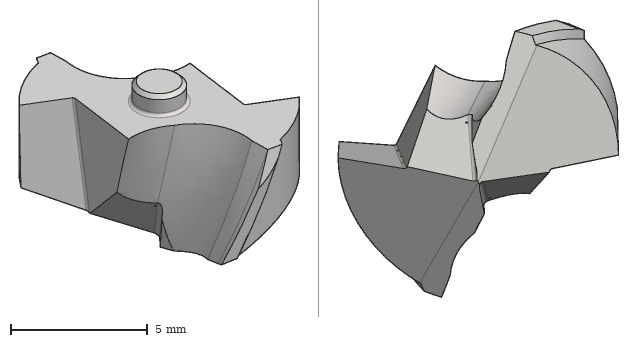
import cadquery as cq
import math


margin_radius = 5.4
relief_radius = 5.14
point_depth = 5.8
body_depth = 6.48
reach = 17.28
helix_rate = 6.296
margin_start_angle = 5.0
margin_end_angle = 21.4
margin_overlap = 0.01
margin_step_angle = 3.2

bevel_inset_x = 4.99
bevel_depth = 1.38

notch_floor_y = 2.41
notch_corner_x = 2.0
notch_wall_dx = 0.73
notch_wall_dy = 1.97
notch_lean = 0.2
notch_fillet = 0.11

lip_rise = 0.355
heel_rise = 0.39
primary_relief = 0.08
gash_rise_x = 1.06
gash_rise_y = 0.97
gash_slope_y = -0.6
lip_inner_end = (12.0, -8.0, 3.6)
gash_fillet = 0.22

corner_flat_start_x = 1.16
corner_flat_end_x = 2.16
corner_flat_top = 3.56
corner_flat_top_y = -0.99
corner_flat_bottom_y = -0.67
corner_flat_outer_y = -1.51

pin_radius = 1.0
pin_height = 0.86
pin_chamfer = 0.16
pin_root_fillet = 0.13


def with_opposite(shape):
    return shape.union(shape.rotate((0, 0, 0), (0, 0, 1), 180))


def polar(radius, angle):
    radians = math.radians(angle)
    return radius * math.cos(radians), radius * math.sin(radians)


def helical(profile):
    """Extrude a profile downwards; its given shape is the one at z = 0."""
    twist = helix_rate * body_depth
    solid = profile.twistExtrude(body_depth, -twist)
    return solid.mirror("XY")


def make_blank():
    core = cq.Workplane("XY").circle(relief_radius).extrude(-body_depth)
    middle_angle = (margin_start_angle + margin_end_angle) / 2
    margin = helical(
        cq.Workplane("XY")
        .moveTo(*polar(relief_radius / 2, margin_start_angle))
        .lineTo(*polar(margin_radius, margin_start_angle))
        .threePointArc(polar(margin_radius, middle_angle), polar(margin_radius, margin_end_angle))
        .lineTo(*polar(relief_radius - margin_overlap, margin_end_angle + margin_step_angle))
        .close()
    )
    return core.union(with_opposite(margin))


def make_flute():
    flute_reach = 6.48
    return helical(
        cq.Workplane("XY")
        .moveTo(flute_reach, 1.59)
        .lineTo(4.99, 1.35)
        .lineTo(4.16, 1.22)
        .threePointArc((2.59, 0.76), (1.66, -0.49))
        .threePointArc((1.37, -1.51), (1.47, -2.42))
        .lineTo(1.84, -3.78)
        .lineTo(2.16, -flute_reach)
        .lineTo(flute_reach, -flute_reach)
        .close()
    )


def make_notch():
    wall_stretch = 2.0
    top = [
        (-notch_corner_x, -notch_floor_y),
        (-notch_corner_x - wall_stretch * notch_wall_dx, -notch_floor_y - wall_stretch * notch_wall_dy),
        (margin_radius, -notch_floor_y - wall_stretch * notch_wall_dy),
        (margin_radius, -notch_floor_y),
    ]
    shift = notch_lean * body_depth
    bottom = [(x + shift, y) for x, y in top]
    notch = (
        cq.Workplane("XY").polyline(top).close()
        .workplane(offset=-body_depth).polyline(bottom).close()
        .loft(ruled=True)
    )
    middle = (shift / 2 - notch_corner_x, -notch_floor_y, -body_depth / 2)
    return notch.edges(cq.selectors.NearestToPointSelector(middle)).fillet(notch_fillet)


def half_space(origin, outward):
    """Large block lying on the outward side of a plane."""
    return cq.Workplane(cq.Plane(origin, normal=outward)).rect(reach, reach).extrude(reach)


def make_flanks():
    point = (0, 0, -point_depth)
    heel = half_space(point, (-lip_rise, -heel_rise, -1))
    primary = half_space(point, (-lip_rise, -primary_relief, -1))
    return heel.union(primary)


def make_bevel():
    return half_space((bevel_inset_x, 0, 0), (bevel_depth, 0, margin_radius - bevel_inset_x))


def make_gash():
    """Rounded V groove running up from the cutting point, ahead of the lip."""
    run = cq.Vector(1, gash_slope_y, gash_rise_x - gash_rise_y * gash_slope_y).normalized()
    floor_normal = cq.Vector(gash_rise_x, -gash_rise_y, -1)
    wall_normal = run.cross(cq.Vector(*lip_inner_end))
    floor_side = run.cross(floor_normal).normalized()
    if floor_side.x > 0:
        floor_side = -floor_side
    wall_side = run.cross(wall_normal).normalized()
    if wall_side.z > 0:
        wall_side = -wall_side
    start = cq.Vector(0, 0, -point_depth) - run * reach / 2
    corners = [start, start + floor_side * reach, start + wall_side * reach]
    face = cq.Face.makeFromWires(cq.Wire.makePolygon(corners, close=True))
    wedge = cq.Workplane(cq.Solid.extrudeLinear(face, run * reach))
    valley = cq.selectors.NearestToPointSelector((0, 0, -point_depth))
    return wedge.edges(valley).fillet(gash_fillet)


def make_corner_flat():
    return (
        cq.Workplane("YZ", origin=(corner_flat_start_x, 0, 0))
        .polyline([
            (corner_flat_top_y, -corner_flat_top),
            (corner_flat_bottom_y, -body_depth),
            (corner_flat_outer_y, -body_depth),
            (corner_flat_outer_y, -corner_flat_top),
        ])
        .close()
        .extrude(corner_flat_end_x - corner_flat_start_x)
    )


def make_pin():
    root_mid = pin_root_fillet * (1 - math.sqrt(0.5))
    sink = 0.22
    return (
        cq.Workplane("XZ")
        .moveTo(0, -sink)
        .lineTo(pin_radius + pin_root_fillet, -sink)
        .lineTo(pin_radius + pin_root_fillet, 0)
        .threePointArc((pin_radius + root_mid, root_mid), (pin_radius, pin_root_fillet))
        .lineTo(pin_radius, pin_height - pin_chamfer)
        .lineTo(pin_radius - pin_chamfer, pin_height)
        .lineTo(0, pin_height)
        .close()
        .revolve(360, (0, 0, 0), (0, 1, 0))
    )


result = make_blank()
cutters = (
    make_flute(),
    make_notch(),
    make_flanks(),
    make_bevel(),
    make_gash(),
    make_corner_flat(),
)
for cutter in cutters:
    result = result.cut(cutter).cut(cutter.rotate((0, 0, 0), (0, 0, 1), 180))
result = result.union(make_pin())